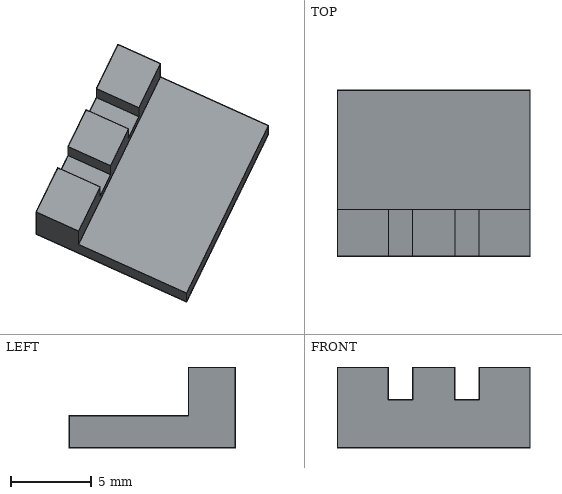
import cadquery as cq

length = 12.0
depth = 10.35
height = 5.0

plate_thickness = 2.0
wall_thickness = 2.93

notch_width = 1.51
notch_depth = 2.0
notch_spacing = 4.15


def corner_box(size_x, size_y, size_z):
    """Box centred in X, with its front face at Y = 0 and its base at Z = 0."""
    return cq.Workplane("XY").box(size_x, size_y, size_z, centered=(True, False, False))


plate = corner_box(length, depth, plate_thickness)
wall = corner_box(length, wall_thickness, height)
result = plate.union(wall)

notch = corner_box(notch_width, wall_thickness, notch_depth)
for side in (-1, 1):
    notch_x = side * notch_spacing / 2
    result = result.cut(notch.translate((notch_x, 0, height - notch_depth)))